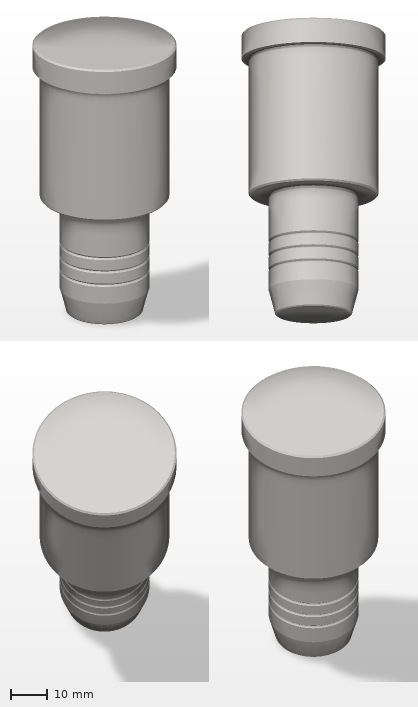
import cadquery as cq
import math

total_height = 80.0
head_height = 7.0
shoulder_z = 34.0
taper_height = 7.0

head_radius = 20.0
body_radius = 18.0
shank_radius = 12.5

edge_chamfer = 0.5
head_relief_height = 0.5
neck_height = 1.0
neck_depth = 0.5
tip_chamfer = 0.3
taper_angle = 15.0

groove_count = 3
groove_pitch = 4.0
groove_width = 1.0
groove_depth = 0.5
land_below_grooves = 6.0

head_bottom_z = total_height - head_height
body_top_z = head_bottom_z - head_relief_height
neck_bottom_z = shoulder_z - neck_height
lowest_groove_top_z = taper_height + land_below_grooves
tip_radius = shank_radius - taper_height * math.tan(math.radians(taper_angle))


def cylinder(radius, bottom_z, top_z):
    return cq.Workplane("XY").workplane(offset=bottom_z).circle(radius).extrude(top_z - bottom_z)


def make_head():
    """Flange with its top rim chamfered."""
    return cylinder(head_radius, head_bottom_z, total_height).faces(">Z").chamfer(edge_chamfer)


def make_body():
    """Main cylinder, chamfered at both ends, with a relief under the head."""
    body = cylinder(body_radius, shoulder_z, body_top_z).faces("<Z or >Z").chamfer(edge_chamfer)
    relief = cylinder(body_radius - edge_chamfer, body_top_z, head_bottom_z)
    return body.union(relief)


def make_shank():
    """Shank with a reduced neck at the shoulder and a tapered, chamfered tip."""
    neck = cylinder(shank_radius - neck_depth, neck_bottom_z, shoulder_z)
    straight = cylinder(shank_radius, taper_height, neck_bottom_z)
    taper = (
        cq.Workplane("XY")
        .circle(tip_radius)
        .workplane(offset=taper_height)
        .circle(shank_radius)
        .loft(ruled=True)
        .faces("<Z")
        .chamfer(tip_chamfer)
    )
    return taper.union(straight).union(neck)


def make_groove(top_z):
    """Ring with a triangular section that cuts one V groove."""
    return (
        cq.Workplane("XZ")
        .moveTo(shank_radius, top_z)
        .lineTo(shank_radius - groove_depth, top_z - groove_width / 2)
        .lineTo(shank_radius, top_z - groove_width)
        .close()
        .revolve(360, (0, 0, 0), (0, 1, 0))
    )


result = make_head().union(make_body()).union(make_shank())
for index in range(groove_count):
    result = result.cut(make_groove(lowest_groove_top_z + index * groove_pitch))